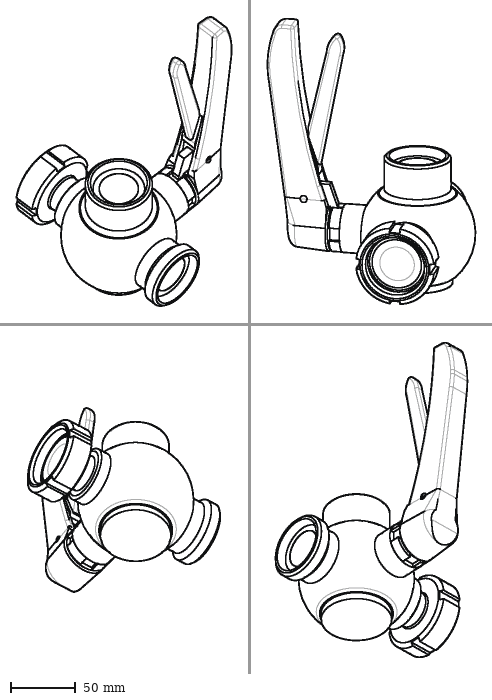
import cadquery as cq
import math

BALL_RADIUS = 45.0
BALL_TOP = 32.8
BALL_BOTTOM = -32.3
PORT_REACH = 63.5
MALE_RADIUS = 26.0
MALE_CHAMFER = 2.0
PIPE_RADIUS = 22.0

TOP_PORT_START = 36.5
TOP_CONE_RADIUS = 29.8

SEAT_MOUTH_RADIUS = 22.0
SEAT_FLOOR_RADIUS = 20.0
SEAT_DEPTH = 7.0
SEAT_RECESS_RADIUS = 15.2
SEAT_RECESS_DEPTH = 0.2

SIDE_NECK_END = 49.8
SIDE_CONE_END = 53.5

BASE_RADIUS = 27.3
BASE_START = -34.2
BASE_BOTTOM = -40.0
BASE_CONE_RADIUS = 28.5

COLLAR_END = -49.2
COLLAR_CHAMFER_LENGTH = 1.2
COLLAR_CHAMFER_DEPTH = 2.8
LINER_RADIUS = 14.8
LINER_FLARE = 0.7
LINER_FLARE_LENGTH = 1.8

NUT_END = -83.0
NUT_START = -61.6
NUT_RADIUS = 31.1
NUT_CHAMFER_LENGTH = 2.2
NUT_CHAMFER_DEPTH = 3.8
NUT_LEAD_RADIUS = 25.7
NUT_LEAD_LENGTH = 2.3
NUT_BORE_RADIUS = 23.4
NUT_BORE_DEPTH = 9.5
LINER_CONE_RADIUS = 21.9
LINER_FACE_DEPTH = 8.5
LINER_FACE_RADIUS = 19.6
LINER_CENTRE_RADIUS = 13.7
LINER_DISH_DEPTH = 0.4
NUT_SLOT_WIDTH = 8.1
NUT_SLOT_RADIUS = 28.0
QUARTER_TURNS = (0, 90, 180, 270)

NECK_RADIUS = 19.0
NECK_END = 58.0
FLANGE_RADIUS = 18.8
FLANGE_END = 66.3
NOTCH_WIDTH = 10.6
NOTCH_FLOOR = 15.0
STEM_RADIUS = 6.4
STEM_END = 80.0

HANDLE_FRONT = 67.7
HANDLE_TOP = 165.49
HANDLE_BACK = 117.61
HUB_BACK = 101.5
HUB_RIM_CHAMFER = 1.5
HUB_BACK_ROUND = 8.0
ARM_BASE = 25.5
ARM_BASE_BACK = 103.6
ROOT_BACK = 101.0
ARM_TOP_FRONT = 96.5
ARM_TOP_HALF_WIDTH = 11.6
ARM_BASE_HALF_WIDTH = 12.8
ARM_DRAFT = 3.7
ARM_ROUND = 2.2
ARM_OVERRUN = 10.0

HEEL_START = (92.0, -NECK_RADIUS)
HEEL_MIDDLE = (97.0, -13.0)
HEEL_END = (99.6, -4.0)
BOW_START = (116.4, 118.0)
BOW_MIDDLE = (HANDLE_BACK, 134.0)
BOW_END = (113.0, 159.0)
TOP_ROUND_MIDDLE = (110.6, 163.3)
TOP_ROUND_END = (106.0, HANDLE_TOP)
HOLLOW_MIDDLE = (90.6, 103.5)
HOLLOW_END = (75.0, 37.3)
CHIN = (HANDLE_FRONT, 15.5)

LEVER_WIDTH = 7.6
LEVER_ROUND = 2.1
BLOCK_WIDTH = 14.0
PIVOT_Y = 87.8
PIVOT_RADIUS = 2.7

LEVER_BACK_TOP = (71.8, 144.0)
LEVER_BACK_BEND = (69.2, 152.6)
TIP_BACK = (65.4, 157.5)
TIP_MIDDLE = (63.4, 158.3)
TIP_FRONT = (61.4, 157.3)
LEVER_FRONT_BEND = (58.6, 150.5)
LEVER_FRONT_TOP = (59.2, 142.0)
LEVER_FRONT_FOOT = (76.6, 51.0)
LEVER_INNER_FOOT = (86.0, 51.0)
LEVER_BACK_FOOT = (91.2, 60.0)

POCKET_TOP = 76.0
POCKET_FLOOR = 18.0
POCKET_BACK = 94.0
POCKET_CEILING_FRONT = (87.0, POCKET_TOP)
POCKET_CEILING_BACK = (POCKET_BACK, 48.0)
BLOCK_FOOT_FRONT = (76.0, POCKET_FLOOR)
BLOCK_RECESS = (80.5, 42.5)
BLOCK_LEDGE = (77.2, 44.0)
BLOCK_NOSE = (77.4, 50.0)
BLOCK_TOP_FRONT = (86.5, POCKET_TOP)

TOOTH_WIDTH = 6.6
TOOTH_TOP = 36.0
TOOTH_FRONT = 63.1
TOOTH_TOP_FRONT = 69.0
TOOTH_HEEL = 19.0
TOOTH_BACK = 80.0


def turned_on_x(points):
    """Turn a closed (x, radius) outline about the X axis."""
    return cq.Workplane("XY").polyline(points).close().revolve(360, (0, 0), (1, 0))


def turned_on_y(points):
    """Turn a closed (radius, y) outline about the Y axis."""
    return cq.Workplane("XY").polyline(points).close().revolve(360, (0, 0), (0, 1))


def turned_on_z(points):
    """Turn a closed (radius, z) outline about the Z axis."""
    return cq.Workplane("XZ").polyline(points).close().revolve(360, (0, 0), (0, 1))


def side_prism(outline, width):
    """Extrude a YZ outline symmetrically about the plane X = 0."""
    return outline.extrude(width / 2, both=True)


def ball():
    """Ball cut flat at both poles, with a cone to the top port and the round foot."""
    sphere = cq.Workplane("XY").sphere(BALL_RADIUS)
    slab_height = BALL_TOP - BALL_BOTTOM
    slab = (
        cq.Workplane("XY").workplane(offset=BALL_BOTTOM)
        .rect(2 * BALL_RADIUS, 2 * BALL_RADIUS).extrude(slab_height)
    )
    bottom_edge_radius = math.sqrt(BALL_RADIUS**2 - BALL_BOTTOM**2)
    top_port = turned_on_z([
        (0, 0),
        (TOP_CONE_RADIUS, BALL_TOP),
        (MALE_RADIUS, TOP_PORT_START),
        (MALE_RADIUS, PORT_REACH - MALE_CHAMFER),
        (MALE_RADIUS - MALE_CHAMFER, PORT_REACH),
        (0, PORT_REACH),
    ])
    foot = turned_on_z([
        (0, 0),
        (bottom_edge_radius, BALL_BOTTOM),
        (BASE_CONE_RADIUS, BASE_START),
        (BASE_RADIUS, BASE_START),
        (BASE_RADIUS, BASE_BOTTOM),
        (0, BASE_BOTTOM),
    ])
    return sphere.intersect(slab).union(top_port).union(foot)


def right_port():
    """Male port on the +X side, with a neck and a cone behind the threaded end."""
    return turned_on_x([
        (0, 0),
        (0, PIPE_RADIUS),
        (SIDE_NECK_END, PIPE_RADIUS),
        (SIDE_CONE_END, MALE_RADIUS),
        (PORT_REACH - MALE_CHAMFER, MALE_RADIUS),
        (PORT_REACH, MALE_RADIUS - MALE_CHAMFER),
        (PORT_REACH, 0),
    ])


def port_seat():
    """Tool for the conical seat, opening upwards at the port's end face."""
    floor = PORT_REACH - SEAT_DEPTH
    recess = floor - SEAT_RECESS_DEPTH
    return turned_on_z([
        (0, PORT_REACH),
        (SEAT_MOUTH_RADIUS, PORT_REACH),
        (SEAT_FLOOR_RADIUS, floor),
        (SEAT_RECESS_RADIUS, floor),
        (SEAT_RECESS_RADIUS, recess),
        (0, recess),
    ])


def left_port():
    """Collar, liner tube and slotted union nut on the -X side."""
    liner_face = NUT_END + LINER_FACE_DEPTH
    bore_floor = NUT_END + NUT_BORE_DEPTH
    port = turned_on_x([
        (0, 0),
        (0, PIPE_RADIUS),
        (COLLAR_END + COLLAR_CHAMFER_LENGTH, PIPE_RADIUS),
        (COLLAR_END, PIPE_RADIUS - COLLAR_CHAMFER_DEPTH),
        (COLLAR_END, LINER_RADIUS),
        (NUT_START + LINER_FLARE_LENGTH, LINER_RADIUS),
        (NUT_START, LINER_RADIUS + LINER_FLARE),
        (NUT_START, NUT_RADIUS - NUT_CHAMFER_DEPTH),
        (NUT_START - NUT_CHAMFER_LENGTH, NUT_RADIUS),
        (NUT_END + NUT_CHAMFER_LENGTH, NUT_RADIUS),
        (NUT_END, NUT_RADIUS - NUT_CHAMFER_DEPTH),
        (NUT_END, NUT_LEAD_RADIUS),
        (NUT_END + NUT_LEAD_LENGTH, NUT_BORE_RADIUS),
        (bore_floor, NUT_BORE_RADIUS),
        (bore_floor, LINER_CONE_RADIUS),
        (liner_face, LINER_FACE_RADIUS),
        (liner_face + LINER_DISH_DEPTH, LINER_CENTRE_RADIUS),
        (liner_face + LINER_DISH_DEPTH, 0),
    ])
    nut_length = NUT_START - NUT_END
    slot = cq.Workplane("XY").box(nut_length, NUT_SLOT_WIDTH, NUT_RADIUS, centered=(False, True, False))
    slot = slot.translate((NUT_END, 0, NUT_SLOT_RADIUS))
    for angle in QUARTER_TURNS:
        port = port.cut(slot.rotate((0, 0, 0), (1, 0, 0), angle))
    return port


def stem():
    """Stem that enters the hub of the handle."""
    return cq.Workplane("XZ").circle(STEM_RADIUS).extrude(-STEM_END)


def stem_housing():
    """Neck on the +Y side with its notched flange and the stem that carries the handle."""
    housing = turned_on_y([
        (0, 0),
        (NECK_RADIUS, 0),
        (NECK_RADIUS, NECK_END),
        (FLANGE_RADIUS, NECK_END),
        (FLANGE_RADIUS, FLANGE_END),
        (0, FLANGE_END),
    ])
    flange_length = FLANGE_END - NECK_END
    notch = cq.Workplane("XY").box(NOTCH_WIDTH, flange_length, NECK_RADIUS, centered=(True, False, False))
    notch = notch.translate((0, NECK_END, NOTCH_FLOOR))
    for angle in QUARTER_TURNS:
        housing = housing.cut(notch.rotate((0, 0, 0), (0, 1, 0), angle))
    return housing.union(stem())


def make_valve_body():
    body = ball().union(right_port()).union(left_port()).union(stem_housing())
    seat = port_seat()
    return body.cut(seat).cut(seat.rotate((0, 0, 0), (0, 1, 0), 90))


def handle_side_outline():
    """Side outline of hub and arm in (y, z): bowed back, hollow front."""
    return (
        cq.Workplane("YZ")
        .moveTo(HANDLE_FRONT, -NECK_RADIUS)
        .lineTo(*HEEL_START)
        .threePointArc(HEEL_MIDDLE, HEEL_END)
        .lineTo(ARM_BASE_BACK, ARM_BASE)
        .lineTo(*BOW_START)
        .threePointArc(BOW_MIDDLE, BOW_END)
        .threePointArc(TOP_ROUND_MIDDLE, TOP_ROUND_END)
        .lineTo(ARM_TOP_FRONT, HANDLE_TOP)
        .threePointArc(HOLLOW_MIDDLE, HOLLOW_END)
        .lineTo(*CHIN)
        .close()
    )


def drafted(half_width, depth):
    """Half width left after the draft has run the given depth back from the hub face."""
    return half_width - depth * math.tan(math.radians(ARM_DRAFT))


def handle_hub():
    """Drafted round hub with a chamfered front rim and a rounded back rim."""
    hub = turned_on_y([
        (0, HANDLE_FRONT),
        (NECK_RADIUS, HANDLE_FRONT),
        (drafted(NECK_RADIUS, HUB_BACK - HANDLE_FRONT), HUB_BACK),
        (0, HUB_BACK),
    ])
    hub = hub.faces("<Y").edges().chamfer(HUB_RIM_CHAMFER)
    return hub.faces(">Y").edges().fillet(HUB_BACK_ROUND)


def root_section(half_width, height, back, back_round):
    """Horizontal section of the arm root, its back corners rounded."""
    front = HANDLE_FRONT + HUB_RIM_CHAMFER
    front_half_width = drafted(half_width, front - HANDLE_FRONT)
    back_half_width = drafted(half_width, back - HANDLE_FRONT)
    section = (
        cq.Sketch()
        .polygon([
            (-front_half_width, front),
            (front_half_width, front),
            (back_half_width, back),
            (-back_half_width, back),
            (-front_half_width, front),
        ])
        .vertices(">Y").fillet(back_round)
    )
    return section.moved(cq.Location(cq.Vector(0, 0, height)))


def arm_root():
    """Flared root whose flanks run from the flat-sided arm tangent into the round hub."""
    corner_distance = math.hypot(ARM_BASE_HALF_WIDTH, ARM_BASE)
    tangent_angle = math.atan2(ARM_BASE, ARM_BASE_HALF_WIDTH) - math.acos(NECK_RADIUS / corner_distance)
    lower = root_section(
        NECK_RADIUS * math.cos(tangent_angle),
        NECK_RADIUS * math.sin(tangent_angle),
        ROOT_BACK,
        HUB_BACK_ROUND,
    )
    upper = root_section(ARM_BASE_HALF_WIDTH, ARM_BASE, ARM_BASE_BACK, ARM_ROUND)
    return cq.Workplane("XY").placeSketch(lower, upper).loft()


def arm():
    """Slender drafted arm, cut to the side outline and rounded on its long edges and top."""
    slope = (ARM_BASE_HALF_WIDTH - ARM_TOP_HALF_WIDTH) / (HANDLE_TOP - ARM_BASE)
    overrun_change = slope * ARM_OVERRUN
    bottom_half_width = ARM_BASE_HALF_WIDTH + overrun_change
    top_half_width = ARM_TOP_HALF_WIDTH - overrun_change
    blank = (
        cq.Workplane("XZ", origin=(0, HANDLE_FRONT, 0))
        .polyline([
            (-bottom_half_width, ARM_BASE - ARM_OVERRUN),
            (-top_half_width, HANDLE_TOP + ARM_OVERRUN),
            (top_half_width, HANDLE_TOP + ARM_OVERRUN),
            (bottom_half_width, ARM_BASE - ARM_OVERRUN),
        ])
        .close()
        .extrude(-(HANDLE_BACK - HANDLE_FRONT), taper=ARM_DRAFT)
    )
    above_root = (
        cq.Workplane("XY", origin=(0, 0, ARM_BASE))
        .rect(4 * NECK_RADIUS, 4 * HANDLE_BACK).extrude(2 * HANDLE_TOP)
    )
    blank = blank.intersect(side_prism(handle_side_outline(), 4 * NECK_RADIUS)).intersect(above_root)
    far = 2 * HANDLE_TOP
    inner = ARM_TOP_HALF_WIDTH / 2
    right_edges = cq.selectors.BoxSelector((inner, 0, ARM_BASE + 1), (far, far, far))
    left_edges = cq.selectors.BoxSelector((-inner, 0, ARM_BASE + 1), (-far, far, far))
    top_edges = cq.selectors.BoxSelector((-far, 0, HANDLE_TOP - 1), (far, ARM_TOP_FRONT + 1, far))
    return blank.edges(right_edges + left_edges + top_edges).fillet(ARM_ROUND)


def pivot_pin():
    """Cross pin of the trigger, as long as the arm root is wide."""
    length = 2 * ARM_BASE_HALF_WIDTH
    return cq.Workplane("YZ").center(PIVOT_Y, ARM_BASE).circle(PIVOT_RADIUS).extrude(length / 2, both=True)


def pocket():
    """Room for the trigger root, open at the front of the handle."""
    outline = cq.Workplane("YZ").polyline([
        POCKET_CEILING_FRONT,
        POCKET_CEILING_BACK,
        (POCKET_BACK, POCKET_FLOOR),
        (TOOTH_FRONT, POCKET_FLOOR),
        (TOOTH_FRONT, POCKET_TOP),
    ]).close()
    return side_prism(outline, BLOCK_WIDTH)


def make_handle(trigger):
    side = side_prism(handle_side_outline(), 4 * NECK_RADIUS)
    handle = handle_hub().union(arm_root()).intersect(side).union(arm())
    return handle.cut(pocket()).cut(trigger).cut(stem())


def trigger_lever():
    """Slim finger lever with a rounded tip and rounded edges."""
    outline = (
        cq.Workplane("YZ")
        .moveTo(*LEVER_BACK_TOP)
        .threePointArc(LEVER_BACK_BEND, TIP_BACK)
        .threePointArc(TIP_MIDDLE, TIP_FRONT)
        .threePointArc(LEVER_FRONT_BEND, LEVER_FRONT_TOP)
        .lineTo(*LEVER_FRONT_FOOT)
        .lineTo(*LEVER_INNER_FOOT)
        .lineTo(*LEVER_BACK_FOOT)
        .close()
    )
    lever = side_prism(outline, LEVER_WIDTH)
    return lever.faces("<X or >X").edges().fillet(LEVER_ROUND)


def trigger_block():
    """Wide root that fills the back of the pocket and carries lever and tooth."""
    outline = cq.Workplane("YZ").polyline([
        BLOCK_TOP_FRONT,
        POCKET_CEILING_FRONT,
        POCKET_CEILING_BACK,
        (POCKET_BACK, POCKET_FLOOR),
        BLOCK_FOOT_FRONT,
        BLOCK_RECESS,
        BLOCK_LEDGE,
        BLOCK_NOSE,
    ]).close()
    return side_prism(outline, BLOCK_WIDTH)


def trigger_tooth():
    """Locking tooth that drops into the upper notch of the flange."""
    outline = cq.Workplane("YZ").polyline([
        (TOOTH_BACK, TOOTH_TOP),
        (TOOTH_TOP_FRONT, TOOTH_TOP),
        (TOOTH_FRONT, TOOTH_HEEL),
        (TOOTH_FRONT, NOTCH_FLOOR),
        (TOOTH_BACK, NOTCH_FLOOR),
    ]).close()
    return side_prism(outline, TOOTH_WIDTH)


def make_trigger():
    pin = pivot_pin().intersect(arm_root().union(arm()))
    return trigger_block().union(trigger_lever()).union(trigger_tooth()).union(pin)


valve_body = make_valve_body()
trigger = make_trigger()
handle = make_handle(trigger)
result = cq.Compound.makeCompound([valve_body.val(), handle.val(), trigger.val()])